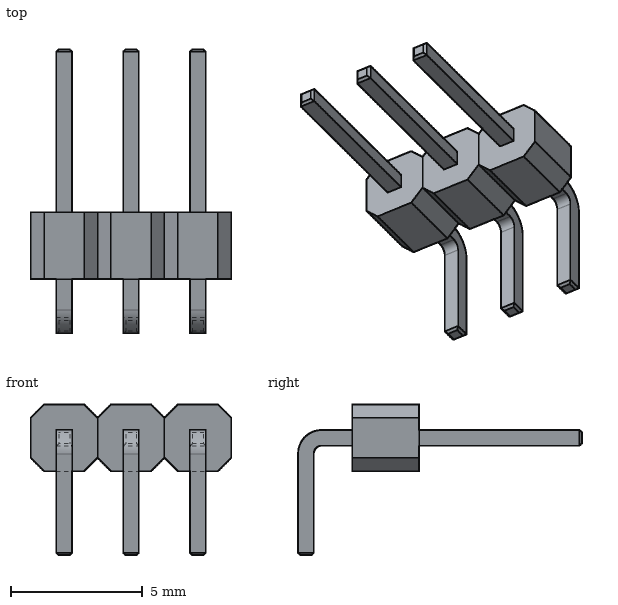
import cadquery as cq

POSITION_COUNT = 3
ROW_WIDTH = 7.62
PITCH = ROW_WIDTH / POSITION_COUNT
TOTAL_LENGTH = 10.8
TOTAL_HEIGHT = 5.73
CORNER_CUT = PITCH / 5
PIN_WIDTH = 0.6
LEG_OFFSET = 2.06
TIP_CHAMFER = 0.1

HALF_BLOCK = PITCH / 2
HALF_PIN = PIN_WIDTH / 2
INNER_BEND_RADIUS = HALF_PIN
OUTER_BEND_RADIUS = INNER_BEND_RADIUS + PIN_WIDTH
LEG_FRONT_Y = -HALF_BLOCK - LEG_OFFSET
TAIL_TIP_Y = LEG_FRONT_Y + TOTAL_LENGTH
FOOT_TIP_Z = HALF_BLOCK - TOTAL_HEIGHT


def make_block():
    """Insulator block: a cube with its four Y edges chamfered."""
    return cq.Workplane("XY").box(PITCH, PITCH, PITCH).edges("|Y").chamfer(CORNER_CUT)


def make_pin():
    """Square wire bent down by a right angle, with both tips chamfered."""
    leg_back_y = LEG_FRONT_Y + PIN_WIDTH
    pin = (
        cq.Workplane("YZ")
        .moveTo(TAIL_TIP_Y, HALF_PIN)
        .lineTo(LEG_FRONT_Y + OUTER_BEND_RADIUS, HALF_PIN)
        .tangentArcPoint((-OUTER_BEND_RADIUS, -OUTER_BEND_RADIUS))
        .lineTo(LEG_FRONT_Y, FOOT_TIP_Z)
        .lineTo(leg_back_y, FOOT_TIP_Z)
        .lineTo(leg_back_y, -HALF_PIN - INNER_BEND_RADIUS)
        .tangentArcPoint((INNER_BEND_RADIUS, INNER_BEND_RADIUS))
        .lineTo(TAIL_TIP_Y, -HALF_PIN)
        .close()
        .extrude(HALF_PIN, both=True)
    )
    pin = pin.faces(">Y").chamfer(TIP_CHAMFER)
    return pin.faces("<Z").chamfer(TIP_CHAMFER)


def make_contact_unit(x):
    """One header position at x: a block and its pin as a single solid."""
    return make_block().union(make_pin()).translate((x, 0, 0)).solids()


FIRST_X = -PITCH * (POSITION_COUNT - 1) / 2
contact_units = [make_contact_unit(FIRST_X + i * PITCH) for i in range(POSITION_COUNT)]

result = cq.Compound.makeCompound([unit.val() for unit in contact_units])